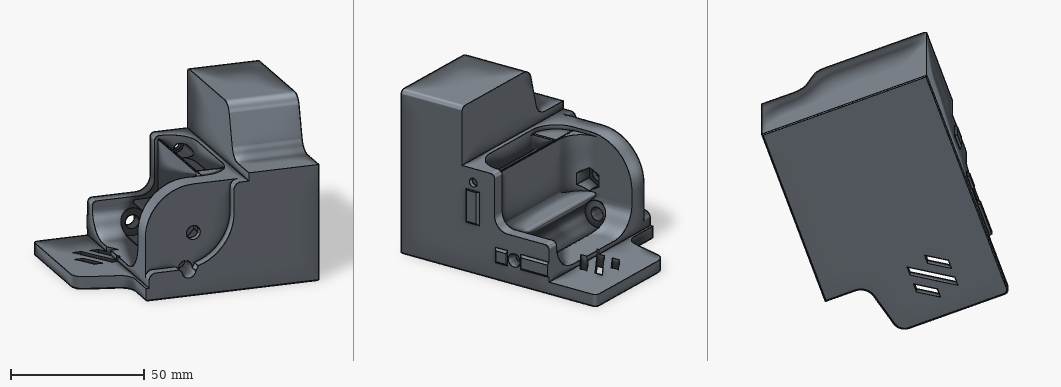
import cadquery as cq
import math

WIDTH = 66.0
LENGTH = 89.7
HEIGHT = 66.7

PLATE_THICK = 5.1
TOWER_DEPTH = 28.0
STEP = 20.6
STEP_TOP_X = 43.95
STEP_BOTTOM_X = 49.4
STEP_TOP_RADIUS = 5.0
STEP_BOTTOM_RADIUS = 6.0
LEFT_RADIUS = 2.0
BOTTOM_CHAMFER = 0.45

BODY_TOP = 42.9
BODY_FRONT = 21.8
BODY_RADIUS = 19.3
EDGE_ROUND = 1.9

WALL_LEFT = 4.9
CAVITY_RIGHT = 54.0
CAVITY_BACK = 59.7
CAVITY_FLOOR = 7.0
CAVITY_RADIUS = 10.9
LEDGE_Z = 41.5
REAR_LEDGE_DROP = 0.4
REAR_LEDGE_Y = 48.8
PARTITION_FRONT = 48.1
PARTITION_BACK = 49.2
PARTITION_RADIUS = 9.8

SHELF_Z = 18.7
SHELF_NOSE_Y = 38.3
NOSE_RADIUS = 0.9
SHELF_FILLET = 1.1
TROUGH_DIAMETER = 11.0
TROUGH_RADIUS = TROUGH_DIAMETER / 2
TROUGH_Y = 37.8
TROUGH_Z = 10.05
SCREW_DIAMETER = 5.5

POCKET_RIGHT = 43.15
PIN_BORE_DIAMETER = 5.5
POCKET_BEND_RADIUS = PIN_BORE_DIAMETER / 2
POCKET_END_FILLET = 1.1
POCKET_END_CHAMFER = 0.4

NUT_Y = BODY_FRONT + BODY_RADIUS
NUT_Z = BODY_TOP - BODY_RADIUS
NUT_FLATS = 8.2
NUT_DEPTH = 5.4

LEFT_CUT_BACK = 46.7
LEFT_CUT_FLOOR = 20.0
LEFT_CUT_RADIUS = 5.9

RIGHT_CUT_X = 61.9
RIGHT_CUT_BACK = 55.8
RIGHT_CUT_FLOOR = 10.85
RIGHT_CUT_RADIUS = 20.2
RIGHT_CUT_ROUND = 2.8
GROOVE_RADIUS = 3.7
GROOVE_Z = 12.3

TAB_HEIGHT = 1.0
TAB_CHAMFER = 0.9
UPPER_TAB_Y = (53.6, 59.8)
UPPER_TAB_Z = (20.3, 33.9)
LOW_TAB_Z = (7.1, 13.3)
REAR_LOW_TAB_Y = (40.7, 46.4)
FRONT_LOW_TAB_Y = (BODY_FRONT, 34.8)
PIN_DIAMETER = 3.5
PIN_BORE_X = 2.0
PIN_BORE_END = WALL_LEFT + CAVITY_RADIUS
PIN_Y = 56.6
PIN_Z = 37.1

SLOT_SLOPE = 0.64
SLOT_OPENING = 3.3
SLOT_WIDTH = 7.7
SLOT_CENTRE = (24.85, 16.1)
SLOT_OFFSET = (SLOT_WIDTH / 2, -4.5)

NEAR = 0.1
COS45 = math.sqrt(0.5)


def box(x0, x1, y0, y1, z0, z1):
    return cq.Workplane("XY").box(x1 - x0, y1 - y0, z1 - z0, centered=False).translate((x0, y0, z0))


def side_sketch(x):
    """Workplane at the given X whose local axes are Y and Z."""
    return cq.Workplane("YZ", origin=(x, 0, 0))


def rod(x0, x1, y, z, diameter):
    return side_sketch(x0).center(y, z).circle(diameter / 2).extrude(x1 - x0)


def stepped_slab(thickness, span):
    """Slab in XY, stepped back on the right, whose outer edge lies on Y = span."""
    slab = (
        cq.Workplane("XY")
        .polyline([
            (0, 0), (WIDTH, 0), (WIDTH, span - STEP), (STEP_BOTTOM_X, span - STEP),
            (STEP_TOP_X, span), (0, span),
        ])
        .close()
        .extrude(thickness)
    )

    def round_corner(solid, x, y, radius):
        corner = cq.selectors.BoxSelector((x - NEAR, y - NEAR, 0), (x + NEAR, y + NEAR, thickness))
        return solid.edges("|Z").edges(corner).fillet(radius)

    slab = round_corner(slab, 0, span, LEFT_RADIUS)
    slab = round_corner(slab, STEP_TOP_X, span, STEP_TOP_RADIUS)
    return round_corner(slab, STEP_BOTTOM_X, span - STEP, STEP_BOTTOM_RADIUS)


def casing():
    plate = stepped_slab(PLATE_THICK, LENGTH).mirror("XZ").translate((0, LENGTH, 0))
    tower = stepped_slab(TOWER_DEPTH, HEIGHT).rotate((0, 0, 0), (1, 0, 0), 90).translate((0, LENGTH, 0))
    body = box(0, WIDTH, BODY_FRONT, LENGTH, 0, BODY_TOP)
    body = body.edges("|X and <Y and >Z").fillet(BODY_RADIUS)
    return plate.union(tower).union(body).faces("<Z").edges().chamfer(BOTTOM_CHAMFER)


def opening():
    """Upright block with rounded back corners that bounds the cavity seen from above."""
    block = box(WALL_LEFT, CAVITY_RIGHT, 0, CAVITY_BACK, CAVITY_FLOOR, HEIGHT)
    return block.edges("|Z and >Y").fillet(CAVITY_RADIUS)


def front_cavity():
    cavity = box(WALL_LEFT, CAVITY_RIGHT, 0, PARTITION_FRONT, CAVITY_FLOOR, HEIGHT)
    cavity = cavity.edges("|Y and <Z").fillet(CAVITY_RADIUS)
    rounded = box(WALL_LEFT, CAVITY_RIGHT, 0, PARTITION_FRONT, 0, HEIGHT)
    rounded = rounded.edges("|Z and >X and >Y").fillet(PARTITION_RADIUS)
    trough = rod(WALL_LEFT, CAVITY_RIGHT, TROUGH_Y, TROUGH_Z, TROUGH_DIAMETER)
    trough = trough.rotate((0, TROUGH_Y, TROUGH_Z), (1, TROUGH_Y, TROUGH_Z), 90)
    return cavity.intersect(rounded).cut(shelf()).union(trough)


def shelf():
    """Shelf with a rounded nose; its underside slopes at 45 degrees into the trough."""
    nose_y = SHELF_NOSE_Y + NOSE_RADIUS
    nose_z = SHELF_Z - NOSE_RADIUS
    reach = TROUGH_RADIUS * COS45
    profile = (
        side_sketch(0)
        .moveTo(nose_y, SHELF_Z)
        .threePointArc(
            (SHELF_NOSE_Y, nose_z),
            (nose_y - NOSE_RADIUS * COS45, nose_z - NOSE_RADIUS * COS45),
        )
        .lineTo(TROUGH_Y + reach, TROUGH_Z + reach)
        .threePointArc((TROUGH_Y + TROUGH_RADIUS, TROUGH_Z), (TROUGH_Y, TROUGH_Z - TROUGH_RADIUS))
        .lineTo(TROUGH_Y, 0)
        .lineTo(CAVITY_BACK, 0)
        .lineTo(CAVITY_BACK, SHELF_Z + SHELF_FILLET)
        .lineTo(PARTITION_FRONT, SHELF_Z + SHELF_FILLET)
        .radiusArc((PARTITION_FRONT - SHELF_FILLET, SHELF_Z), SHELF_FILLET)
        .close()
    )
    return profile.extrude(WIDTH)


def rear_pocket():
    """Pocket behind the partition, its floor curving up at 45 degrees towards the front."""
    floor = PIN_Z - POCKET_BEND_RADIUS
    bend_rise = POCKET_BEND_RADIUS * (1 - COS45)
    bend_y = PIN_Y - POCKET_BEND_RADIUS * COS45
    slope_top = floor + bend_rise + bend_y - PARTITION_BACK
    tool = (
        side_sketch(0)
        .moveTo(CAVITY_BACK, HEIGHT)
        .lineTo(CAVITY_BACK, floor)
        .lineTo(PIN_Y, floor)
        .radiusArc((bend_y, floor + bend_rise), POCKET_BEND_RADIUS)
        .lineTo(PARTITION_BACK, slope_top)
        .lineTo(PARTITION_BACK, HEIGHT)
        .close()
        .extrude(POCKET_RIGHT)
    )
    end_corner = cq.selectors.BoxSelector(
        (POCKET_RIGHT - NEAR, PARTITION_BACK + NEAR, 0), (POCKET_RIGHT + NEAR, LENGTH, HEIGHT - NEAR)
    )
    tool = tool.edges(end_corner).fillet(POCKET_END_FILLET)
    return tool.intersect(opening())


def mouth():
    """Recess around the rim; its ledge sits slightly deeper behind the partition's lip."""
    front_part = box(0, WIDTH, PARTITION_FRONT - PARTITION_RADIUS, LENGTH, LEDGE_Z, HEIGHT)
    rear_part = box(0, WIDTH, REAR_LEDGE_Y, LENGTH, LEDGE_Z - REAR_LEDGE_DROP, HEIGHT)
    return opening().intersect(front_part.union(rear_part))


def cavity():
    below_top = box(0, WIDTH, 0, LENGTH, 0, BODY_TOP)
    return front_cavity().union(rear_pocket()).union(mouth()).intersect(below_top)


def nut_recess():
    corner_radius = NUT_FLATS / math.sqrt(3)
    hexagon = [
        (corner_radius * math.sin(i * math.pi / 3), corner_radius * math.cos(i * math.pi / 3))
        for i in range(6)
    ]
    start = CAVITY_RIGHT - PARTITION_RADIUS
    recess = side_sketch(start).center(NUT_Y, NUT_Z).polyline(hexagon).close()
    recess = recess.extrude(CAVITY_RIGHT + NUT_DEPTH - start)
    return recess.union(rod(CAVITY_RIGHT, WIDTH, NUT_Y, NUT_Z, SCREW_DIAMETER))


def side_cut(x0, x1, back, floor, inner_radius, outer_round):
    """Cut-away of a side wall: concave inner corner and rounded upper and front rims."""
    profile = (
        side_sketch(x0)
        .moveTo(back + outer_round, BODY_TOP)
        .radiusArc((back, BODY_TOP - outer_round), -outer_round)
        .lineTo(back, floor + inner_radius)
        .radiusArc((back - inner_radius, floor), inner_radius)
        .lineTo(BODY_FRONT + outer_round, floor)
        .radiusArc((BODY_FRONT, floor - outer_round), -outer_round)
        .lineTo(BODY_FRONT, BODY_TOP)
        .close()
    )
    return profile.extrude(x1 - x0)


def right_groove():
    """Round groove across the right cut-away, its front side easing out at 45 degrees."""
    edge_y = TROUGH_Y - GROOVE_RADIUS * COS45
    edge_z = GROOVE_Z - GROOVE_RADIUS * COS45
    rise = RIGHT_CUT_FLOOR - edge_z
    ease = side_sketch(RIGHT_CUT_X).polyline([
        (edge_y, edge_z), (edge_y - rise, RIGHT_CUT_FLOOR), (TROUGH_Y, RIGHT_CUT_FLOOR),
    ])
    groove = rod(RIGHT_CUT_X, WIDTH, TROUGH_Y, GROOVE_Z, 2 * GROOVE_RADIUS)
    return groove.union(ease.close().extrude(WIDTH - RIGHT_CUT_X))


def tab(y_range, z_range, chamfered_sides):
    block = box(-TAB_HEIGHT, WALL_LEFT, *y_range, *z_range)
    for side in chamfered_sides:
        block = block.faces("<X").edges(side).chamfer(TAB_CHAMFER)
    return block


def slanted_slot(centre_x, centre_y, width):
    half_rise = SLOT_SLOPE * width / 2
    half_gap = SLOT_OPENING / 2
    return (
        cq.Workplane("XY")
        .polyline([
            (centre_x - width / 2, centre_y - half_rise - half_gap),
            (centre_x + width / 2, centre_y + half_rise - half_gap),
            (centre_x + width / 2, centre_y + half_rise + half_gap),
            (centre_x - width / 2, centre_y - half_rise + half_gap),
        ])
        .close()
        .extrude(CAVITY_FLOOR)
    )


result = casing().cut(cavity()).cut(nut_recess())

rear_ledge_z = LEDGE_Z - REAR_LEDGE_DROP
pocket_rim = cq.selectors.BoxSelector(
    (POCKET_RIGHT - NEAR, PARTITION_BACK, rear_ledge_z - NEAR),
    (POCKET_RIGHT + NEAR, CAVITY_BACK, rear_ledge_z + NEAR),
)
result = result.edges(pocket_rim).chamfer(POCKET_END_CHAMFER)

result = result.cut(side_cut(0, WALL_LEFT, LEFT_CUT_BACK, LEFT_CUT_FLOOR, LEFT_CUT_RADIUS, EDGE_ROUND))
result = result.cut(
    side_cut(RIGHT_CUT_X, WIDTH, RIGHT_CUT_BACK, RIGHT_CUT_FLOOR, RIGHT_CUT_RADIUS, RIGHT_CUT_ROUND)
)
result = result.cut(right_groove())

result = result.union(tab(UPPER_TAB_Y, UPPER_TAB_Z, ["<Y", ">Y", "<Z"]))
result = result.union(tab(REAR_LOW_TAB_Y, LOW_TAB_Z, [">Y", "<Z", ">Z"]))
result = result.union(tab(FRONT_LOW_TAB_Y, LOW_TAB_Z, [">Y", "<Z", ">Z"]))

result = result.cut(rod(-TAB_HEIGHT, WIDTH, TROUGH_Y, TROUGH_Z, SCREW_DIAMETER))
result = result.cut(rod(0, PIN_BORE_END, PIN_Y, PIN_Z, PIN_DIAMETER))
result = result.cut(rod(PIN_BORE_X, PIN_BORE_END, PIN_Y, PIN_Z, PIN_BORE_DIAMETER))

for place, slot_width in ((-1, SLOT_WIDTH), (0, 2 * SLOT_WIDTH), (1, SLOT_WIDTH)):
    slot_x = SLOT_CENTRE[0] + place * SLOT_OFFSET[0]
    slot_y = SLOT_CENTRE[1] + place * SLOT_OFFSET[1]
    result = result.cut(slanted_slot(slot_x, slot_y, slot_width))